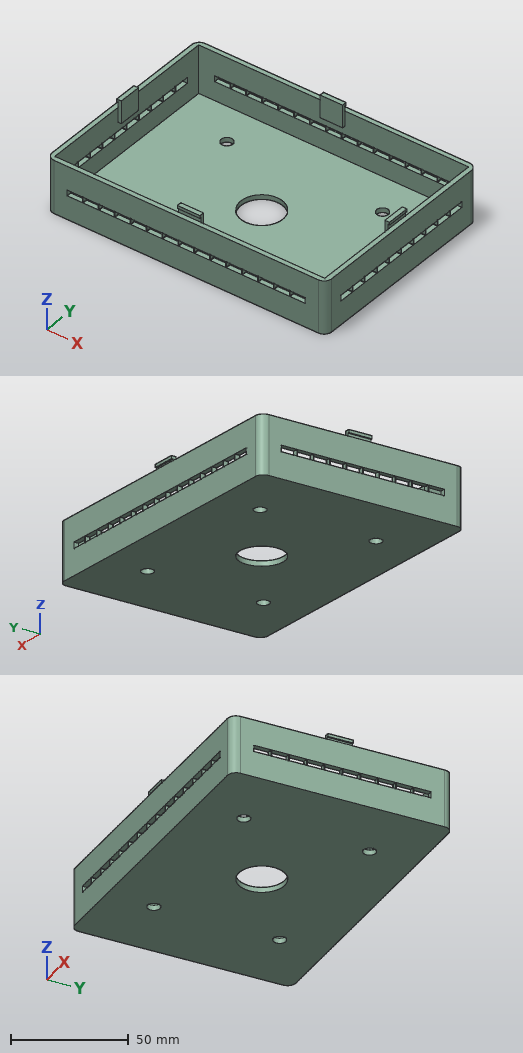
import cadquery as cq

length = 149.0
width = 105.5
box_height = 28.0
wall = 2.5
floor = 2.5
corner_radius = 4.0

total_height = 32.0
tab_width = 12.0
tab_height = 11.9
tab_thickness = 1.6
lip_overhang = 0.82
lip_height = 1.5

slot_length = 8.0
slot_gap = 0.5
slot_height = 3.0
slot_center_z = box_height / 2
long_wall_slots = 15
short_wall_slots = 10

center_hole_diameter = 22.0
mount_hole_diameter = 6.0
mount_spacing_x = 83.0
mount_spacing_y = 60.0


def tray():
    outer = cq.Workplane("XY").rect(length, width).extrude(box_height)
    outer = outer.edges("|Z").fillet(corner_radius)
    cavity = (
        cq.Workplane("XY", origin=(0, 0, floor))
        .rect(length - 2 * wall, width - 2 * wall)
        .extrude(box_height)
    )
    return outer.cut(cavity)


def slot_row(count, through_length):
    """Row of slots spread along X that runs through both walls facing Y."""
    pitch = slot_length + slot_gap
    return (
        cq.Workplane("XY", origin=(0, 0, slot_center_z))
        .rarray(pitch, 1.5, count, 1)
        .box(slot_length, through_length, slot_height)
    )


def snap_tab(wall_face):
    """Tab against the inner face at X = wall_face, with a lip hooking outward over the wall."""
    inner_x = wall_face - tab_thickness
    lip_x = wall_face + lip_overhang
    lip_bottom = total_height - lip_height
    tab_bottom = total_height - tab_height
    profile = [
        (inner_x, tab_bottom),
        (wall_face, tab_bottom),
        (wall_face, lip_bottom),
        (lip_x, lip_bottom),
        (lip_x, total_height),
        (inner_x, total_height),
    ]
    return cq.Workplane("XZ").polyline(profile).close().extrude(tab_width / 2, both=True)


def turned(shape, angle):
    return shape.rotate((0, 0, 0), (0, 0, 1), angle)


def floor_holes():
    center = cq.Workplane("XY").circle(center_hole_diameter / 2).extrude(floor)
    mounts = (
        cq.Workplane("XY")
        .rarray(mount_spacing_x, mount_spacing_y, 2, 2)
        .circle(mount_hole_diameter / 2)
        .extrude(floor)
    )
    return center.union(mounts)


result = tray()
result = result.cut(slot_row(long_wall_slots, width))
result = result.cut(turned(slot_row(short_wall_slots, length), 90))
result = result.cut(floor_holes())

short_wall_tab = snap_tab(length / 2 - wall)
long_wall_tab = snap_tab(width / 2 - wall)
for tab, angle in [(short_wall_tab, 0), (long_wall_tab, 90)]:
    result = result.union(turned(tab, angle))
    result = result.union(turned(tab, angle + 180))